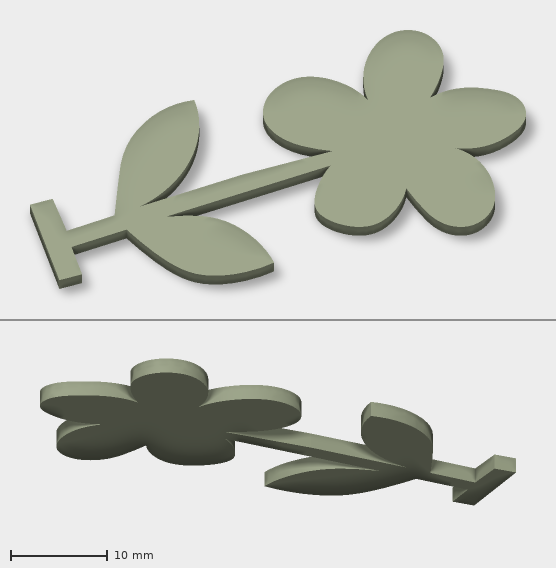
import cadquery as cq

length = 52.8
thickness = 1.6

foot_left = -3.55
foot_right = 6.55
foot_height = 2.5
foot_crown = 2.65

notch_upper_left = (-3.85, 43.75)
notch_upper_right = (3.05, 44.35)
notch_right = (6.4, 37.9)
notch_left = (-5.5, 37.55)

stem_top_left = (-0.5, 32.05)
stem_top_right = (1.2, 31.3)
stem_bend_left = (-0.5, 22.15)
leaf_top_left = (0.15, 10.8)
leaf_top_right = (2.2, 13.0)
leaf_base_left = (0.4, 7.95)
leaf_base_right = (2.55, 8.6)
stem_foot_left = (0.8, foot_crown)
stem_foot_right = (2.9, foot_height)

leaf_tip_left = (-11.05, 20.3)
leaf_tip_right = (11.2, 21.95)

petal_top = [(-4.15, 46.4), (-3.0, 50.1), (-1.15, 52.35), (0.2, length), (1.65, 52.4), (3.2, 50.2), (3.75, 47.8)]
petal_upper_right = [(5.3, 46.15), (8.45, 46.7), (11.65, 45.55), (12.95, 42.9), (12.0, 40.45), (9.5, 38.85)]
petal_lower_right = [(8.2, 36.55), (9.75, 33.25), (8.8, 30.25), (6.05, 28.2), (3.7, 29.0)]
petal_lower_left = [(-1.6, 29.95), (-4.2, 27.15), (-6.6, 26.5), (-9.1, 27.7), (-10.45, 31.25), (-9.2, 34.7)]
petal_upper_left = [(-8.2, 37.85), (-10.75, 39.15), (-12.95, 42.75), (-12.05, 45.5), (-9.25, 46.75), (-6.6, 45.95)]
left_leaf_top = [(-6.6, 19.4), (-3.05, 16.85), (-0.85, 13.65)]
left_leaf_bottom = [(-4.2, 9.9), (-7.45, 11.7), (-10.15, 15.0)]
right_leaf_top = [(2.7, 15.0), (4.1, 18.1), (7.2, 20.7)]
right_leaf_bottom = [(11.4, 18.1), (10.0, 13.6), (7.2, 11.1)]

outline = (
    cq.Workplane("XY")
    .moveTo(foot_left, 0)
    .lineTo(foot_left, foot_height)
    .lineTo(*stem_foot_left)
    .lineTo(*leaf_base_left)
    .spline([*left_leaf_bottom, leaf_tip_left], includeCurrent=True)
    .spline([*left_leaf_top, leaf_top_left], includeCurrent=True)
    .lineTo(*stem_bend_left)
    .lineTo(*stem_top_left)
    .spline([*petal_lower_left, notch_left], includeCurrent=True)
    .spline([*petal_upper_left, notch_upper_left], includeCurrent=True)
    .spline([*petal_top, notch_upper_right], includeCurrent=True)
    .spline([*petal_upper_right, notch_right], includeCurrent=True)
    .spline([*petal_lower_right, stem_top_right], includeCurrent=True)
    .lineTo(*leaf_top_right)
    .spline([*right_leaf_top, leaf_tip_right], includeCurrent=True)
    .spline([*right_leaf_bottom, leaf_base_right], includeCurrent=True)
    .lineTo(*stem_foot_right)
    .lineTo(foot_right, foot_height)
    .lineTo(foot_right, 0)
    .close()
)

result = outline.extrude(thickness)